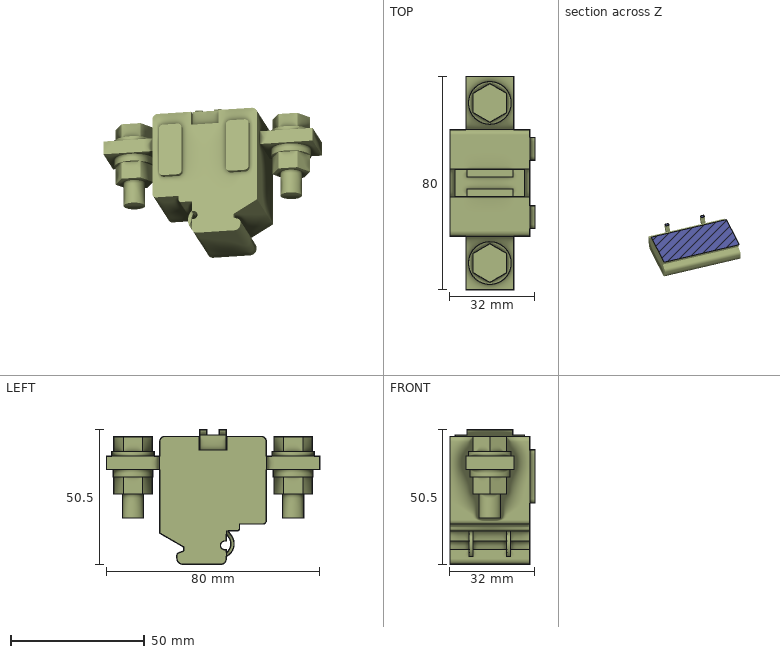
import cadquery as cq
import math


width = 30.0
length = 40.0
height = 48.0
half_length = length / 2
top_round = 2.0

slope_angle = math.radians(30)
slope_top = 11.7
foot_neck_y = 11.0
foot_back_y = 13.6
foot_ledge_z = 5.0
foot_ledge_angle = math.radians(20)
foot_front_y = -5.0
foot_front_round = 2.0
foot_back_round = 2.3
foot_ledge_round = 1.2
step_y = -10.0
lower_step_z = 12.6
upper_step_z = 15.0
lower_step_round = 1.0
upper_step_round = 1.4

groove_radius = 1.6
groove_z = 7.1
groove_bottom_y = -2.8

hook_y = -2.6
hook_z = 7.7
hook_radius = 5.3
hook_thickness = 1.3
hook_width = 1.5
hook_outer_x = 7.8
hook_lean = math.radians(35)

slot_width = 10.4
slot_floor = 42.9
insert_length = 26.0
insert_width = 10.0
insert_top = 48.5
ridge_length = 17.2
ridge_width = 2.7
ridge_top = 50.5

pad_length = 8.6
pad_height = 20.0
pad_thickness = 2.0
pad_round = 1.5
pad_y = 12.8
pad_z = 33.0

lug_width = 18.0
lug_length = 20.0
lug_bottom = 35.5
lug_top = 40.6
bolt_y = half_length + lug_length / 2
hex_flats = 12.6
upper_washer_diameter = 16.0
upper_washer_thickness = 1.8
lower_washer_diameter = 15.0
lower_washer_thickness = 2.7
head_top = 47.8
nut_bottom = 26.3
shank_diameter = 8.0
shank_bottom = 17.4


def block(size_x, size_y, bottom, top, y=0.0):
    """Box centred on X = 0 and on the given y, between two heights."""
    return (
        cq.Workplane("XY", origin=(0, y, bottom))
        .box(size_x, size_y, top - bottom, centered=(True, True, False))
    )


def housing_body():
    """Side outline extruded across the width, with its long corners rounded."""
    neck_z = slope_top - (half_length - foot_neck_y) * math.tan(slope_angle)
    ledge_end_z = foot_ledge_z - (foot_back_y - foot_neck_y) * math.tan(foot_ledge_angle)
    outline = [
        (half_length, height),
        (half_length, slope_top),
        (foot_neck_y, neck_z),
        (foot_neck_y, foot_ledge_z),
        (foot_back_y, ledge_end_z),
        (foot_back_y, 0),
        (foot_front_y, 0),
        (foot_front_y, lower_step_z),
        (step_y, lower_step_z),
        (step_y, upper_step_z),
        (-half_length, upper_step_z),
        (-half_length, height),
    ]
    body = cq.Workplane("YZ").polyline(outline).close().extrude(width / 2, both=True)
    rounds = [
        (half_length, height, top_round),
        (-half_length, height, top_round),
        (foot_back_y, ledge_end_z, foot_ledge_round),
        (foot_back_y, 0, foot_back_round),
        (foot_front_y, 0, foot_front_round),
        (step_y, lower_step_z, lower_step_round),
        (-half_length, upper_step_z, upper_step_round),
    ]
    for y, z, radius in rounds:
        corner = cq.selectors.NearestToPointSelector((0, y, z))
        body = body.edges("|X").edges(corner).fillet(radius)
    return body


def foot_groove():
    """Groove with a half-round bottom, open to the front of the foot."""
    centre_y = groove_bottom_y - groove_radius
    return (
        cq.Workplane("YZ")
        .moveTo(foot_front_y, groove_z - groove_radius)
        .lineTo(centre_y, groove_z - groove_radius)
        .threePointArc((groove_bottom_y, groove_z), (centre_y, groove_z + groove_radius))
        .lineTo(foot_front_y, groove_z + groove_radius)
        .close()
        .extrude(width / 2, both=True)
    )


def hook(x_start):
    """Curved strip rising from the foot, straight where it leans back to the step."""
    inner_radius = hook_radius - hook_thickness

    def arc_point(radius, angle):
        return (hook_y - radius * math.cos(angle), hook_z + radius * math.sin(angle))

    def face_angle(radius):
        """Angle at which an arc of this radius meets the front face of the foot."""
        return -math.acos((hook_y - foot_front_y) / radius)

    outer_bend = arc_point(hook_radius, hook_lean)
    inner_bend = arc_point(inner_radius, hook_lean)
    outer_end_y = outer_bend[0] + (lower_step_z - outer_bend[1]) * math.tan(hook_lean)
    inner_end_z = inner_bend[1] + (foot_front_y - inner_bend[0]) / math.tan(hook_lean)
    return (
        cq.Workplane("YZ", origin=(x_start, 0, 0))
        .moveTo(*arc_point(hook_radius, face_angle(hook_radius)))
        .threePointArc(arc_point(hook_radius, 0), outer_bend)
        .lineTo(outer_end_y, lower_step_z)
        .lineTo(foot_front_y, lower_step_z)
        .lineTo(foot_front_y, inner_end_z)
        .lineTo(*inner_bend)
        .threePointArc(
            arc_point(inner_radius, 0),
            arc_point(inner_radius, face_angle(inner_radius)),
        )
        .close()
        .extrude(hook_width)
    )


def ridged_insert():
    """Insert standing on the slot floor, with a ridge along each long edge."""
    insert = block(insert_length, insert_width, slot_floor, insert_top)
    ridge_y = (insert_width - ridge_width) / 2
    for side in (-1, 1):
        insert = insert.union(block(ridge_length, ridge_width, insert_top, ridge_top, side * ridge_y))
    return insert


def side_pad(y):
    """Rounded rectangular pad on the +X side."""
    return (
        cq.Workplane("YZ", origin=(width / 2, y, pad_z))
        .rect(pad_length, pad_height)
        .extrude(pad_thickness)
        .edges("|X")
        .fillet(pad_round)
    )


def cylinder(diameter, bottom, top, y):
    return cq.Workplane("XY", origin=(0, y, bottom)).circle(diameter / 2).extrude(top - bottom)


def hexagon(bottom, top, y):
    """Hexagonal prism with two of its flats facing along X."""
    across_corners = hex_flats / math.cos(math.pi / 6)
    prism = cq.Workplane("XY").polygon(6, across_corners).extrude(top - bottom)
    return prism.rotate((0, 0, 0), (0, 0, 1), 90).translate((0, y, bottom))


def terminal(side):
    """Lug with a bolt through it: head, two washers, nut and shank."""
    y = side * bolt_y
    washer_top = lug_top + upper_washer_thickness
    washer_bottom = lug_bottom - lower_washer_thickness
    return (
        block(lug_width, lug_length, lug_bottom, lug_top, y)
        .union(cylinder(upper_washer_diameter, lug_top, washer_top, y))
        .union(hexagon(washer_top, head_top, y))
        .union(cylinder(lower_washer_diameter, washer_bottom, lug_bottom, y))
        .union(hexagon(nut_bottom, washer_bottom, y))
        .union(cylinder(shank_diameter, shank_bottom, nut_bottom, y))
    )


part = housing_body().cut(foot_groove())
part = part.cut(block(width, slot_width, slot_floor, height))
part = part.union(ridged_insert())
for x_start in (-hook_outer_x, hook_outer_x - hook_width):
    part = part.union(hook(x_start))
for side in (-1, 1):
    part = part.union(side_pad(side * pad_y))
    part = part.union(terminal(side))

result = part